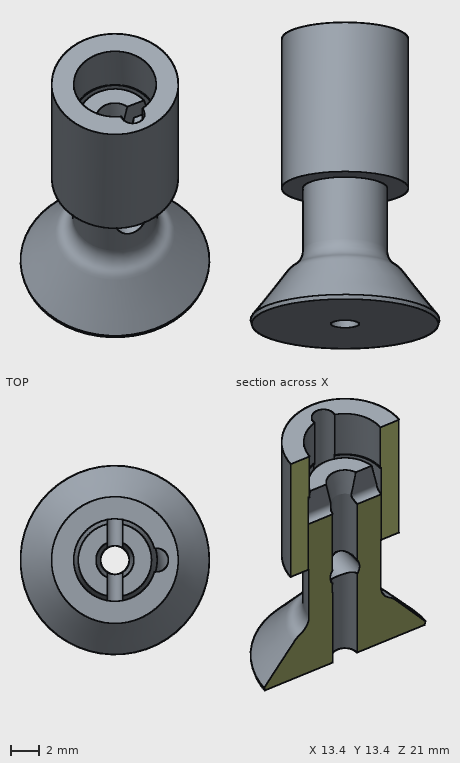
import cadquery as cq

total_height = 21.0
clearance_past_face = 0.2

sleeve_diameter = 9.0
sleeve_length = 11.0
sleeve_bottom = total_height - sleeve_length
bore_diameter = 5.85
bore_depth = 4.0
socket_top = total_height - bore_depth
groove_radius = 0.85
groove_centre = 2.96

stem_diameter = 6.0
stem_radius = stem_diameter / 2
stem_top = socket_top
taper_height = 2.0
taper_width = 0.4
air_hole_radius = 1.0
countersink_width = 0.34
slot_width = 1.1
side_hole_diameter = 2.4
side_hole_height = 8.34

lip_radius = 6.72
lip_height = 0.32
lip_bottom_radius = 6.64
flare_start_height = 5.42
flare_end_radius = 3.74
flare_end_height = 4.07
shoulder_radius = 4.22
shoulder_height = 3.61


def make_sleeve():
    """Tube with a wider socket below its bore and a round groove along the +X side."""
    sleeve = (
        cq.Workplane("XY", origin=(0, 0, sleeve_bottom))
        .circle(sleeve_diameter / 2)
        .circle(bore_diameter / 2)
        .extrude(sleeve_length)
    )
    socket = (
        cq.Workplane("XY", origin=(0, 0, sleeve_bottom))
        .circle(stem_radius)
        .extrude(socket_top - sleeve_bottom)
    )
    groove = (
        cq.Workplane("XY", origin=(groove_centre, 0, sleeve_bottom))
        .circle(groove_radius)
        .extrude(sleeve_length)
    )
    return sleeve.cut(socket).cut(groove)


def make_cup_blank():
    """Solid of revolution: tapered stem, concave flare, convex shoulder, cone and tapered lip."""
    return (
        cq.Workplane("XZ")
        .lineTo(0, stem_top)
        .lineTo(stem_radius - taper_width, stem_top)
        .lineTo(stem_radius, stem_top - taper_height)
        .lineTo(stem_radius, flare_start_height)
        .tangentArcPoint((flare_end_radius, flare_end_height), relative=False)
        .tangentArcPoint((shoulder_radius, shoulder_height), relative=False)
        .lineTo(lip_radius, lip_height)
        .lineTo(lip_bottom_radius, 0)
        .close()
        .revolve(360, (0, 0, 0), (0, 1, 0))
    )


def make_air_hole():
    """Central passage, widened by a steep countersink at the stem top."""
    hole_profile = (
        cq.Workplane("XZ")
        .lineTo(air_hole_radius, 0)
        .lineTo(air_hole_radius, stem_top - taper_height)
        .lineTo(air_hole_radius + countersink_width, stem_top)
        .lineTo(0, stem_top)
        .close()
    )
    return hole_profile.revolve(360, (0, 0, 0), (0, 1, 0))


def make_top_slot():
    """Deep round-bottomed channel running along Y across the stem top."""
    slot_reach = stem_radius + clearance_past_face
    return (
        cq.Workplane("XZ", origin=(0, 0, stem_top - taper_height))
        .moveTo(-slot_width / 2, taper_height + clearance_past_face)
        .lineTo(-slot_width / 2, 0)
        .threePointArc((0, -slot_width / 2), (slot_width / 2, 0))
        .lineTo(slot_width / 2, taper_height + clearance_past_face)
        .close()
        .extrude(slot_reach, both=True)
    )


def make_side_hole():
    """Radial hole from the axis out through the +X side of the stem."""
    return (
        cq.Workplane("YZ", origin=(0, 0, side_hole_height))
        .circle(side_hole_diameter / 2)
        .extrude(stem_radius + clearance_past_face)
    )


def make_suction_cup():
    cup = make_cup_blank()
    cup = cup.cut(make_air_hole())
    cup = cup.cut(make_top_slot())
    return cup.cut(make_side_hole())


sleeve = make_sleeve()
suction_cup = make_suction_cup()
result = cq.Compound.makeCompound([sleeve.solids().val(), suction_cup.solids().val()])